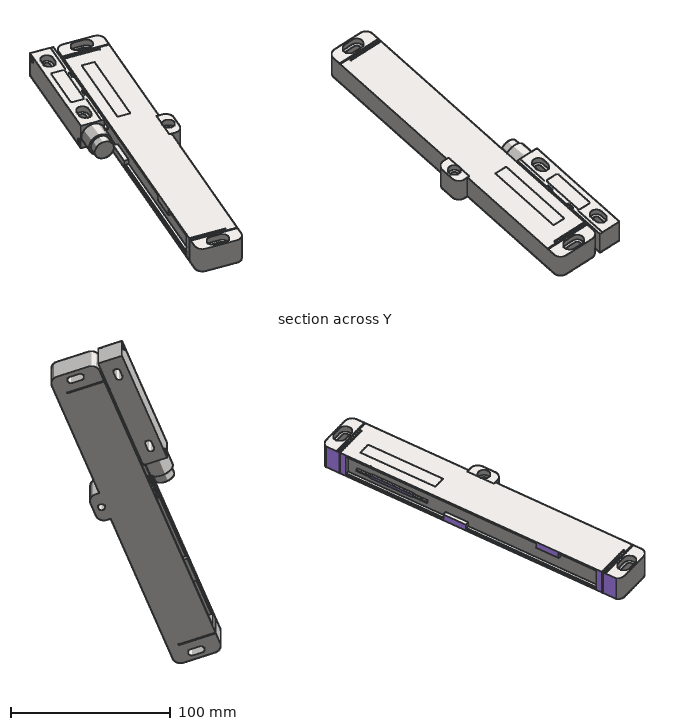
import cadquery as cq

length = 225.0
height = 18.0
overall_width = 57.0
mid_height = height / 2
mid_length = length / 2
engraving_depth = 0.11
counterbore_depth = 4.5

housing_front = 17.0
housing_width = 32.0
housing_mid = housing_front + housing_width / 2
corner_radius = 5.5

end_slot_inset = 5.5
end_slot_width = 4.7
end_slot_length = 10.8
end_slot_bore_width = 8.5
end_slot_bore_length = 14.6

lug_x = 99.7
lug_width = 20.2
lug_seat_y = 47.5
lug_hole_y = 51.3
lug_hole_diameter = 4.5
lug_bore_diameter = 8.0

groove_width = 0.7
cap_groove_inset = 11.5
seal_slot_inset = 13.5
seal_slot_depth = 24.8

housing_label_x = 24.3
housing_label_y = 24.8
housing_label_length = 56.5
housing_label_width = 8.8

window_end_inset = 18.2
window_edge = 1.4
window_inner_edge = 2.0
window_step_depth = 1.1
window_depth = 3.2
window_length = length - 2 * window_end_inset

tab_width = 17.0
tab_height = 5.5
upper_tab_x = 169.9
lower_tab_x = 100.1

reader_length = 80.0
reader_width = 16.0
reader_mid = reader_length / 2
pad_width = 14.0
relief_length = 32.8
ramp_length = 1.5

reader_slot_spacing = 56.2
reader_slot_y = 7.2
reader_slot_length = 8.3
reader_slot_width = 4.3
reader_slot_bore_length = 12.2
reader_slot_bore_width = 8.0

reader_label_x = 23.8
reader_label_y = 3.8
reader_label_length = 32.0
reader_label_width = 9.2
reader_label_radius = 1.1

screw_inset = 3.2
screw_diameter = 3.8
screw_depth = 1.1
screw_point_diameter = 2.7
screw_point_depth = 1.4

notch_places = (30.0, 49.7)
notch_diameter = 4.5
notch_depth = 1.4

gland_y = 8.3
gland_diameter = 15.8
gland_length = 11.7
cable_diameter = 13.0
cable_length = 6.0

blade_x = 52.5
blade_half_length = 26.5
blade_shoulder = 17.5
blade_core = 14.8
blade_tip_thickness = 1.4
blade_core_thickness = 2.7
blade_reach = 3.2


def box(x, y, z, size_x, size_y, size_z):
    """Box given by its lowest corner and its size."""
    return cq.Workplane("XY").box(size_x, size_y, size_z, centered=False).translate((x, y, z))


def counterbored_slot(x, y, slot_length, slot_width, bore_length, bore_width, angle):
    """Cutter for a slot through the full height with a slotted counterbore from the top."""
    through = cq.Workplane("XY").center(x, y).slot2D(slot_length, slot_width, angle).extrude(height)
    bore = (
        cq.Workplane("XY", origin=(x, y, height))
        .slot2D(bore_length, bore_width, angle)
        .extrude(-counterbore_depth)
    )
    return through.union(bore)


def window_band(edge, depth):
    """Cutter for one level of the scanning window, leaving an edge above and below it."""
    return box(window_end_inset, housing_front, edge, window_length, depth, height - 2 * edge)


def window_cutter():
    """Stepped scanning window without the two flush tabs."""
    cutter = window_band(window_edge, window_step_depth).union(window_band(window_inner_edge, window_depth))
    for tab_x, tab_z in ((upper_tab_x, height - tab_height), (lower_tab_x, 0)):
        tab = box(tab_x - tab_width / 2, housing_front, tab_z, tab_width, window_depth, tab_height)
        cutter = cutter.cut(tab)
    return cutter


def mounting_lug():
    """Full-height lug with rounded outer corners."""
    lug = box(lug_x - lug_width / 2, housing_mid, 0, lug_width, overall_width - housing_mid, height)
    return lug.edges("|Z and >Y").fillet(corner_radius)


def lug_seat():
    """Cutter that sets the lug top slightly below the housing top, back from the lug's front edge."""
    return box(
        lug_x - lug_width / 2, lug_seat_y, height - engraving_depth,
        lug_width, overall_width - lug_seat_y, engraving_depth,
    )


def lug_hole():
    """Cutter for the counterbored hole of the lug."""
    through = cq.Workplane("XY").center(lug_x, lug_hole_y).circle(lug_hole_diameter / 2).extrude(height)
    bore = (
        cq.Workplane("XY", origin=(lug_x, lug_hole_y, height))
        .circle(lug_bore_diameter / 2)
        .extrude(-counterbore_depth)
    )
    return through.union(bore)


def end_features(side):
    """Cutters at one housing end; side is -1 for the left end and 1 for the right end."""
    def from_end(inset):
        return mid_length + side * (mid_length - inset)

    slot = counterbored_slot(
        from_end(end_slot_inset), housing_mid,
        end_slot_length, end_slot_width, end_slot_bore_length, end_slot_bore_width, 90,
    )
    cap_groove = box(
        from_end(cap_groove_inset) - groove_width / 2, housing_front, height - engraving_depth,
        groove_width, housing_width, engraving_depth,
    )
    seal_slot = box(
        from_end(seal_slot_inset) - groove_width / 2, housing_front, 0,
        groove_width, seal_slot_depth, height,
    )
    return slot.union(cap_groove).union(seal_slot)


def make_housing():
    """Scale housing with its end caps and mounting lug."""
    body = box(0, housing_front, 0, length, housing_width, height)
    body = body.edges("|Z").fillet(corner_radius)
    body = body.union(mounting_lug()).cut(lug_seat()).cut(lug_hole())
    for side in (-1, 1):
        body = body.cut(end_features(side))
    label = box(
        housing_label_x, housing_label_y, height - engraving_depth,
        housing_label_length, housing_label_width, engraving_depth,
    )
    return body.cut(label).cut(window_cutter())


def reader_top_relief():
    """Cutter for the lowered middle with ramped ends and the lowered strip along the back."""
    floor = height - engraving_depth
    half_floor = relief_length / 2
    half_top = half_floor + ramp_length
    middle = (
        cq.Workplane("XZ")
        .polyline([
            (reader_mid - half_top, height),
            (reader_mid - half_floor, floor),
            (reader_mid + half_floor, floor),
            (reader_mid + half_top, height),
        ])
        .close()
        .extrude(-reader_width)
    )
    strip = box(0, pad_width, floor, reader_length, reader_width - pad_width, engraving_depth)
    return middle.union(strip)


def reader_label():
    """Cutter for the rounded label recess in the lowered middle."""
    floor = height - 2 * engraving_depth
    label = box(
        reader_label_x, reader_label_y, floor,
        reader_label_length, reader_label_width, 2 * engraving_depth,
    )
    return label.edges("|Z").fillet(reader_label_radius)


def screw_point(x, z):
    """Cutter for a shallow round recess with a conical bottom in the reader front."""
    head = cq.Workplane("XZ", origin=(x, 0, z)).circle(screw_diameter / 2).extrude(-screw_depth)
    point = cq.Solid.makeCone(
        screw_point_diameter / 2, 0, screw_point_depth,
        cq.Vector(x, screw_depth, z), cq.Vector(0, 1, 0),
    )
    return head.union(cq.Workplane(point))


def edge_notch(x):
    """Cutter for a round notch in the top back edge of the reader."""
    return (
        cq.Workplane("XZ", origin=(x, reader_width, height))
        .circle(notch_diameter / 2)
        .extrude(notch_depth)
    )


def cable_gland():
    """Two-step round gland on the +X end of the reader."""
    plane = cq.Workplane("YZ", origin=(reader_length, gland_y, mid_height))
    sleeve = plane.circle(gland_diameter / 2).extrude(gland_length)
    cable = plane.circle(cable_diameter / 2).extrude(gland_length + cable_length)
    return sleeve.union(cable)


def scanning_blade():
    """Flat blade, thicker in the middle and tapering to thin ends."""
    half_tip = blade_tip_thickness / 2
    half_core = blade_core_thickness / 2
    upper = [
        (-blade_half_length, half_tip),
        (-blade_shoulder, half_tip),
        (-blade_core, half_core),
        (blade_core, half_core),
        (blade_shoulder, half_tip),
        (blade_half_length, half_tip),
    ]
    lower = [(x, -z) for x, z in reversed(upper)]
    return (
        cq.Workplane("XZ", origin=(blade_x, reader_width, mid_height))
        .polyline(upper + lower)
        .close()
        .extrude(-blade_reach)
    )


def make_reader():
    """Reader head with its gland and blade."""
    body = box(0, 0, 0, reader_length, reader_width, height)
    body = body.cut(reader_top_relief()).cut(reader_label())
    for side in (-1, 1):
        body = body.cut(counterbored_slot(
            reader_mid + side * reader_slot_spacing / 2, reader_slot_y,
            reader_slot_length, reader_slot_width, reader_slot_bore_length, reader_slot_bore_width, 0,
        ))
    body = body.cut(screw_point(screw_inset, height - screw_inset))
    body = body.cut(screw_point(reader_length - screw_inset, screw_inset))
    for x in notch_places:
        body = body.cut(edge_notch(x))
    return body.union(cable_gland()).union(scanning_blade())


housing = make_housing()
reader = make_reader()
result = cq.Compound.makeCompound([housing.val(), reader.val()])